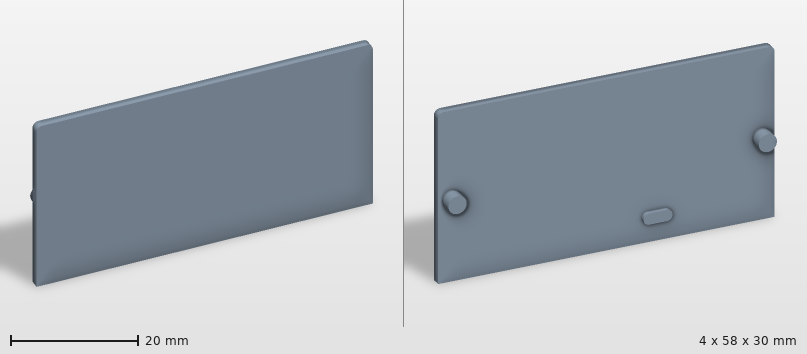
import cadquery as cq

plate_length = 58.0
plate_height = 30.0
plate_thickness = 1.55
corner_radius = 1.0

peg_diameter = 3.15
peg_length = 2.45
peg_spacing = 53.5
peg_height = 14.5

tab_length = 5.0
tab_height = 2.0
tab_depth = 0.85
tab_y = -8.5
tab_z = 4.45


def face_plane():
    """Sketch plane on the pegged face: local x is +Z, local y is +Y, normal is -X."""
    return cq.Workplane(cq.Plane(origin=(0, 0, 0), xDir=(0, 0, 1), normal=(-1, 0, 0)))


def make_plate():
    """Plate with its two upper corners rounded."""
    plate = cq.Workplane("XY").box(
        plate_thickness, plate_length, plate_height, centered=(False, True, False)
    )
    return plate.edges("|X").edges(">Z").fillet(corner_radius)


def make_pegs():
    half_spacing = peg_spacing / 2
    peg_centres = [(peg_height, -half_spacing), (peg_height, half_spacing)]
    return face_plane().pushPoints(peg_centres).circle(peg_diameter / 2).extrude(peg_length)


def make_tab():
    tab = face_plane().center(tab_z, tab_y).slot2D(tab_length, tab_height, 90)
    return tab.extrude(tab_depth)


result = make_plate().union(make_pegs()).union(make_tab())